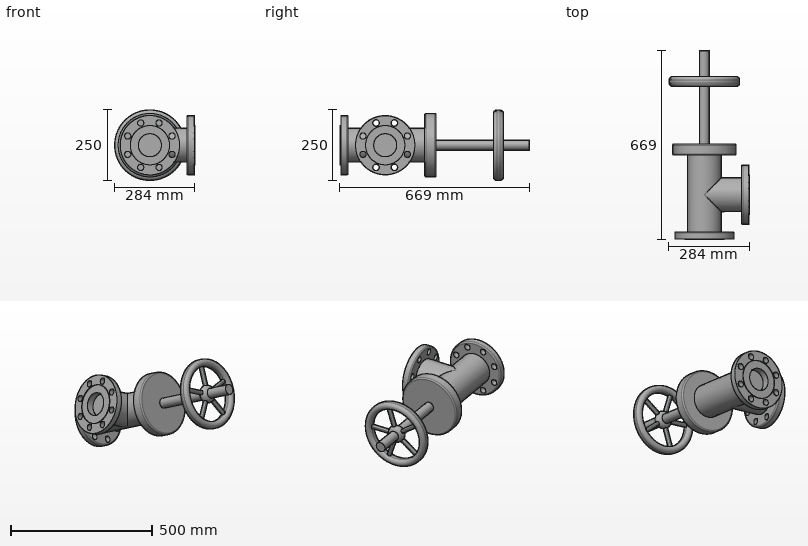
import cadquery as cq


face_distance = 159.0
pipe_radius = 60.0
overall_length = 669.0

flange_radius = 105.0
flange_thickness = 26.0
flange_edge_round = 5.0
raised_face_radius = 69.5
raised_face_height = 2.0
bore_radius = 41.0
hole_depth = flange_thickness + raised_face_height
bolt_count = 8
bolt_start_angle = 180 / bolt_count
bolt_circle_radius = 85.0
bolt_hole_diameter = 22.0

bonnet_start = 140.0
bonnet_thickness = 40.0
bonnet_radius = 112.5
bonnet_edge_round = 5.0

stem_radius = 18.0
stem_end = overall_length - face_distance

wheel_center = 401.0
wheel_radius = 125.0
rim_width = 36.0
rim_depth = 26.0
hub_width = 36.0
hub_radius = 32.0
spoke_count = 5
spoke_width = 15.0
spoke_round = 5.0


def cylinder_along_y(radius, start, end):
    return cq.Workplane("XZ", origin=(0, start, 0)).circle(radius).extrude(start - end)


def flanged_pipe():
    """Pipe from the origin to a flange along -Y, with a bore and bolt holes as deep as the flange."""
    flange_face = face_distance - raised_face_height
    flange_back = flange_face - flange_thickness
    pipe = cylinder_along_y(pipe_radius, -flange_face, 0)
    flange = cylinder_along_y(flange_radius, -flange_face, -flange_back)
    flange = flange.faces(">Y").edges().fillet(flange_edge_round)
    raised_face = cylinder_along_y(raised_face_radius, -face_distance, -flange_back)
    bore = cylinder_along_y(bore_radius, -face_distance, hole_depth - face_distance)
    bolt_holes = (
        cq.Workplane("XZ", origin=(0, -face_distance, 0))
        .polarArray(bolt_circle_radius, bolt_start_angle, 360, bolt_count)
        .circle(bolt_hole_diameter / 2)
        .extrude(-hole_depth)
    )
    return pipe.union(flange).union(raised_face).cut(bore).cut(bolt_holes)


def bonnet():
    """Round-edged disc on the end of the upper half of the run."""
    pipe = cylinder_along_y(pipe_radius, 0, bonnet_start)
    disc = cylinder_along_y(bonnet_radius, bonnet_start, bonnet_start + bonnet_thickness)
    disc = disc.edges().fillet(bonnet_edge_round)
    return pipe.union(disc)


def handwheel():
    """Rim, bulging hub and round-edged square spokes around the stem."""
    rim_middle = wheel_radius - rim_depth / 2
    rim = (
        cq.Workplane("XY", origin=(0, wheel_center, 0))
        .center(rim_middle, 0)
        .slot2D(rim_width, rim_depth, 90)
        .revolve(axisStart=(-rim_middle, 0), axisEnd=(-rim_middle, 1))
    )
    hub_shoulder = hub_radius - hub_width / 2
    hub = (
        cq.Workplane("XY", origin=(0, wheel_center, 0))
        .moveTo(0, -hub_width / 2)
        .lineTo(hub_shoulder, -hub_width / 2)
        .threePointArc((hub_radius, 0), (hub_shoulder, hub_width / 2))
        .lineTo(0, hub_width / 2)
        .close()
        .revolve(axisStart=(0, 0), axisEnd=(0, 1))
    )
    wheel = rim.union(hub)
    spoke = (
        cq.Workplane("YZ", origin=(0, wheel_center, 0))
        .rect(spoke_width, spoke_width)
        .extrude(rim_middle)
        .edges("|X")
        .fillet(spoke_round)
    )
    for index in range(spoke_count):
        angle = 360 / spoke_count * index
        wheel = wheel.union(spoke.rotate((0, 0, 0), (0, 1, 0), angle))
    return wheel


run_end = flanged_pipe()
branch = flanged_pipe().rotate((0, 0, 0), (0, 0, 1), 90)
stem = cylinder_along_y(stem_radius, bonnet_start, stem_end)

result = run_end.union(branch).union(bonnet()).union(stem).union(handwheel())